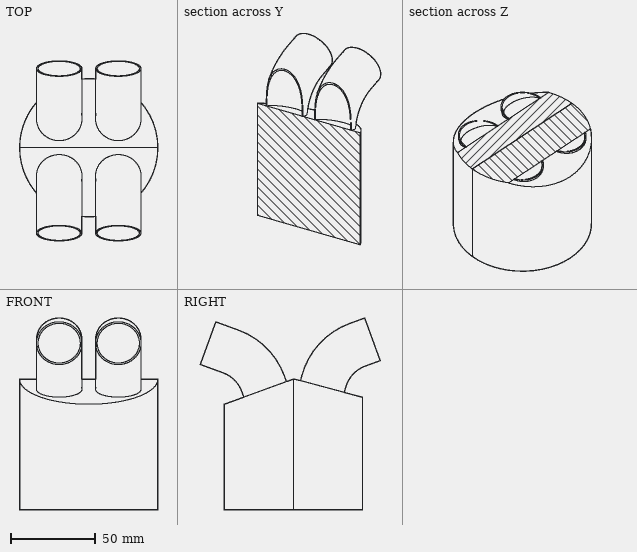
import cadquery as cq
import math

canister_radius = 41.0
ridge_height = 77.45
ridge_flat = 0.8
front_slope = 20.0
rear_slope = 15.0

tube_radius = 13.5
tube_wall = 1.0
bend_radius = 32.0
front_root_length = 3.5
rear_root_length = 3.0
outlet_tilt = 70.0
front_outlet_length = 14.4
rear_outlet_length = 9.5
tube_offset_x = 17.5
front_foot_distance = 17.8
rear_foot_distance = 17.0


def make_half(side, slope, flat):
    """Half cylinder on the given Y side (+1 or -1), level for `flat`, then falling at `slope`."""
    eave_height = ridge_height - (canister_radius - flat) * math.tan(math.radians(slope))
    profile = [(0, 0), (0, ridge_height)]
    if flat > 0:
        profile.append((side * flat, ridge_height))
    profile += [(side * canister_radius, eave_height), (side * canister_radius, 0)]
    wedge = cq.Workplane("YZ").polyline(profile).close().extrude(canister_radius, both=True)
    cylinder = cq.Workplane("XY").circle(canister_radius).extrude(ridge_height)
    return cylinder.intersect(wedge)


def make_tube(x, side, slope, flat, foot_distance, root_length, outlet_length):
    """Hollow tube that rises square to the sloping top and bends outward to `outlet_tilt`."""
    start_angle = math.radians(slope)
    end_angle = math.radians(outlet_tilt)
    middle_angle = (start_angle + end_angle) / 2

    def step(point, length, angle):
        """Move `length` in the direction leaning outward from vertical by `angle`."""
        return (point[0] + side * length * math.sin(angle), point[1] + length * math.cos(angle))

    foot = (
        side * (flat + foot_distance * math.cos(start_angle)),
        ridge_height - foot_distance * math.sin(start_angle),
    )
    bend_start = step(foot, root_length, start_angle)
    bend_center = step(bend_start, bend_radius, start_angle + math.pi / 2)
    bend_middle = step(bend_center, bend_radius, middle_angle - math.pi / 2)
    bend_end = step(bend_center, bend_radius, end_angle - math.pi / 2)
    outlet = step(bend_end, outlet_length, end_angle)

    axis = (
        cq.Workplane("YZ", origin=(x, 0, 0))
        .moveTo(*foot)
        .lineTo(*bend_start)
        .threePointArc(bend_middle, bend_end)
        .lineTo(*outlet)
    )
    foot_plane = cq.Plane(
        origin=(x, *foot),
        xDir=(1, 0, 0),
        normal=(0, side * math.sin(start_angle), math.cos(start_angle)),
    )
    section = cq.Workplane(foot_plane).circle(tube_radius).circle(tube_radius - tube_wall)
    return section.sweep(axis)


front_half = make_half(-1, front_slope, 0)
rear_half = make_half(1, rear_slope, ridge_flat)

tubes = []
for tube_x in (-tube_offset_x, tube_offset_x):
    front_tube = make_tube(
        tube_x, -1, front_slope, 0, front_foot_distance, front_root_length, front_outlet_length
    )
    rear_tube = make_tube(
        tube_x, 1, rear_slope, ridge_flat, rear_foot_distance, rear_root_length, rear_outlet_length
    )
    tubes += [front_tube, rear_tube]

result = cq.Compound.makeCompound(
    [front_half.val(), rear_half.val(), *[tube.val() for tube in tubes]]
)